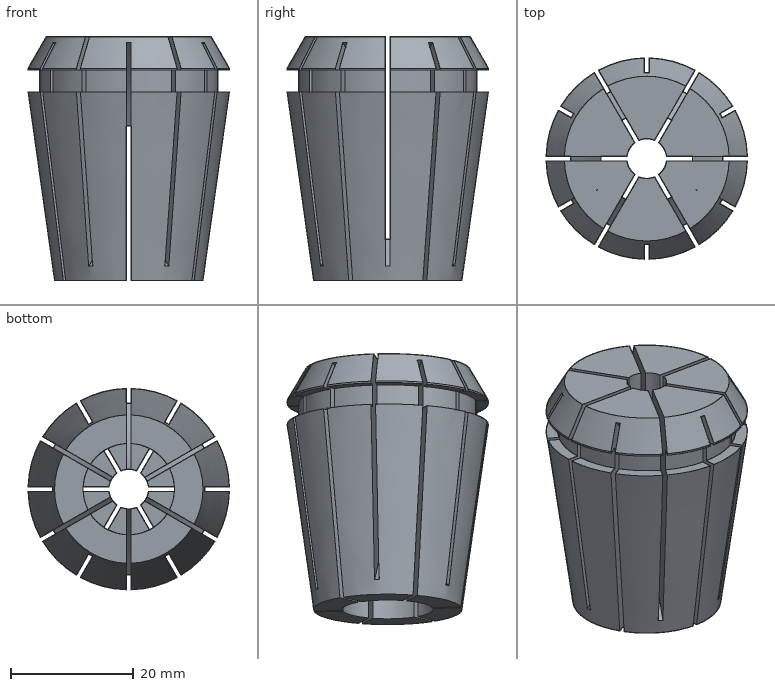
import cadquery as cq
import math

LENGTH = 40.0
OUTER_DIAMETER = 33.0
OUTER_RADIUS = OUTER_DIAMETER / 2

NOSE_ANGLE = 30.0
LAND_TOP = 34.8
LAND_BOTTOM = 34.5
GROOVE_RADIUS = 14.6

TAPER_TOP = 30.9
TAPER_ANGLE = 8.0

BORE_RADIUS = 3.25
RELIEF_RADIUS = 7.5
RELIEF_DEPTH = LENGTH / 2

SLOT_WIDTH = 0.75
SLOTS_PER_SET = 6
SLOT_PITCH = 360 / SLOTS_PER_SET
BLADE_RADIUS = 30.8

NOSE_SLOT_OUTER_HEIGHT = 2.4
NOSE_SLOT_INNER_HEIGHT = 6.8
REAR_SLOT_OUTER_HEIGHT = 39.0
REAR_SLOT_INNER_HEIGHT = 25.35


def nose_radius(height):
    """Radius of the nose cone at a height."""
    return OUTER_RADIUS - (height - LAND_TOP) * math.tan(math.radians(NOSE_ANGLE))


def taper_radius(height):
    """Radius of the tapered body at a height."""
    return OUTER_RADIUS - (TAPER_TOP - height) * math.tan(math.radians(TAPER_ANGLE))


def make_body():
    """Turned collet with its bore and rear relief, revolved from a half-section."""
    return (
        cq.Workplane("XZ")
        .moveTo(RELIEF_RADIUS, 0)
        .lineTo(taper_radius(0), 0)
        .lineTo(OUTER_RADIUS, TAPER_TOP)
        .lineTo(GROOVE_RADIUS, TAPER_TOP)
        .lineTo(GROOVE_RADIUS, LAND_BOTTOM)
        .lineTo(OUTER_RADIUS, LAND_BOTTOM)
        .lineTo(OUTER_RADIUS, LAND_TOP)
        .lineTo(nose_radius(LENGTH), LENGTH)
        .lineTo(BORE_RADIUS, LENGTH)
        .lineTo(BORE_RADIUS, RELIEF_DEPTH)
        .lineTo(RELIEF_RADIUS, RELIEF_DEPTH)
        .close()
        .revolve(360, (0, 0, 0), (0, 1, 0))
    )


def blade_center(outer, inner):
    """Center of the blade whose rim passes through two (radius, height) points."""
    run = outer[0] - inner[0]
    rise = outer[1] - inner[1]
    chord = math.hypot(run, rise)
    offset = math.sqrt(BLADE_RADIUS**2 - (chord / 2) ** 2)
    side = math.copysign(1, rise)
    center_radius = (outer[0] + inner[0]) / 2 + side * offset * rise / chord
    center_height = (outer[1] + inner[1]) / 2 - side * offset * run / chord
    return center_radius, center_height


def cut_slots(body, outer, inner, first_angle):
    """Cut a ring of radial slots whose curved ends run from outer to inner."""
    blade = (
        cq.Workplane("XZ")
        .center(*blade_center(outer, inner))
        .circle(BLADE_RADIUS)
        .extrude(SLOT_WIDTH / 2, both=True)
    )
    for index in range(SLOTS_PER_SET):
        angle = first_angle + index * SLOT_PITCH
        body = body.cut(blade.rotate((0, 0, 0), (0, 0, 1), angle))
    return body


result = make_body()

result = cut_slots(
    result,
    outer=(taper_radius(NOSE_SLOT_OUTER_HEIGHT), NOSE_SLOT_OUTER_HEIGHT),
    inner=(RELIEF_RADIUS, NOSE_SLOT_INNER_HEIGHT),
    first_angle=0,
)

result = cut_slots(
    result,
    outer=(nose_radius(REAR_SLOT_OUTER_HEIGHT), REAR_SLOT_OUTER_HEIGHT),
    inner=(BORE_RADIUS, REAR_SLOT_INNER_HEIGHT),
    first_angle=SLOT_PITCH / 2,
)